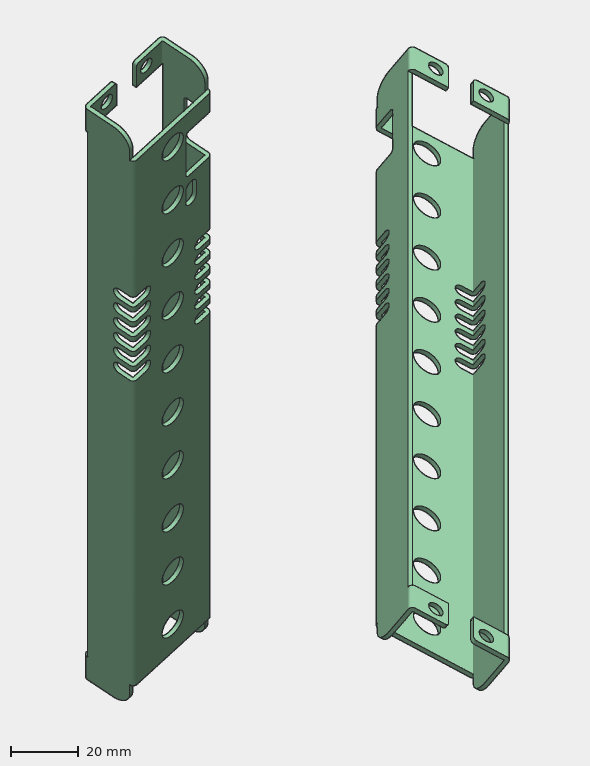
import cadquery as cq

sheet = 1.5
bend_inner = 0.03
bend_outer = bend_inner + sheet

flange_flat = 16.4
depth = flange_flat + 2 * bend_outer
width = 35.7
length = 268.2

end_relief = 10.7
web_length = length - 2 * end_relief
lip_gap = 8.9
lip_corner = 1.3
lip_hole_diameter = 5.0
lip_hole_spacing = 18.0
lip_hole_inset = 4.8

flange_corner = 6.5

web_hole_diameter = 9.7
web_hole_count = 10
web_hole_pitch = 25.0
web_hole_row_z = 2.0

vent_count = 6
vent_pitch = 7.0
vent_width = 4.5
vent_reach = 7.8
vent_row_z = 39.7

window_height = 21.0
window_z = 104.0
window_reach_web = 11.8
window_reach_flange = 9.7
window_corner = 1.3

slot_length = 10.5
slot_width = 4.8
slot_y = 8.3
slot_z = 84.8

lip_face = -depth / 2
web_face = depth / 2
web_bend_start = web_face - bend_outer
lip_bend_start = lip_face + bend_outer
side_face = width / 2


def box_between(x_range, y_range, z_range):
    """Box filling the given minimum-maximum ranges."""
    corners = list(zip(x_range, y_range, z_range))
    sizes = [high - low for low, high in zip(*corners)]
    return cq.Workplane("XY").box(*sizes, centered=False).translate(corners[0])


def row(count, pitch, centre):
    """Evenly spaced positions about a centre."""
    return [centre + (i - (count - 1) / 2) * pitch for i in range(count)]


def make_channel():
    """Rectangular tube opened along the gap between the lips."""
    outer = cq.Workplane("XY").box(depth, width, length).edges("|Z").fillet(bend_outer)
    inner = cq.Workplane("XY").box(depth - 2 * sheet, width - 2 * sheet, length)
    inner = inner.edges("|Z").fillet(bend_inner)
    gap = box_between((lip_face, 0), (-lip_gap / 2, lip_gap / 2), (-length / 2, length / 2))
    return outer.cut(inner).cut(gap)


def trim_lips(body):
    """Keep the lips only at the two ends and round their free outer corners."""
    middle = box_between(
        (lip_face, lip_bend_start), (-side_face, side_face), (-web_length / 2, web_length / 2)
    )
    body = body.cut(middle)
    lip_middle = lip_face + sheet / 2
    for side in (-1, 1):
        for end in (-1, 1):
            corner = (lip_middle, side * lip_gap / 2, end * length / 2)
            body = body.edges(cq.selectors.NearestToPointSelector(corner)).fillet(lip_corner)
    return body


def trim_web_ends(body):
    """Shorten the web and round the flange corners beyond it."""
    for end in (-1, 1):
        z_range = sorted((end * web_length / 2, end * length / 2))
        body = body.cut(box_between((web_bend_start, web_face), (-side_face, side_face), z_range))
        for side in (-1, 1):
            tip = (web_bend_start, side * (side_face - sheet / 2), end * length / 2)
            body = body.edges(cq.selectors.NearestToPointSelector(tip)).fillet(flange_corner)
    return body


def lip_holes():
    """One fixing hole through each lip."""
    points = [
        (side * lip_hole_spacing / 2, end * (length / 2 - lip_hole_inset))
        for side in (-1, 1)
        for end in (-1, 1)
    ]
    plane = cq.Workplane("YZ", origin=(lip_face, 0, 0))
    return plane.pushPoints(points).circle(lip_hole_diameter / 2).extrude(bend_outer)


def web_openings():
    """Large round holes and the vertical slot, both through the web only."""
    plane = cq.Workplane("YZ", origin=(web_bend_start, 0, 0))
    points = [(0, z) for z in row(web_hole_count, web_hole_pitch, web_hole_row_z)]
    holes = plane.pushPoints(points).circle(web_hole_diameter / 2).extrude(bend_outer)
    slot = plane.center(slot_y, slot_z).slot2D(slot_length, slot_width, 90).extrude(bend_outer)
    return holes.union(slot)


def vent_slots():
    """Round-ended cuts through the web and flange, meeting at each bend."""
    slot_size = 2 * vent_reach
    levels = row(vent_count, vent_pitch, vent_row_z)
    web_plane = cq.Workplane("YZ", origin=(web_bend_start, 0, 0))
    web_points = [(side * side_face, z) for side in (-1, 1) for z in levels]
    vents = web_plane.pushPoints(web_points).slot2D(slot_size, vent_width).extrude(bend_outer)
    for side in (-1, 1):
        flange_plane = cq.Workplane("XZ", origin=(0, side * side_face, 0))
        flange_points = [(web_face, z) for z in levels]
        in_flange = flange_plane.pushPoints(flange_points).slot2D(slot_size, vent_width)
        vents = vents.union(in_flange.extrude(side * bend_outer))
    return vents


def window():
    """Round-cornered window through the web and the +Y flange."""
    in_web = (
        cq.Workplane("YZ", origin=(web_bend_start, side_face, window_z))
        .rect(2 * window_reach_web, window_height)
        .extrude(bend_outer)
        .edges("|X")
        .fillet(window_corner)
    )
    in_flange = (
        cq.Workplane("XZ", origin=(web_face, side_face, window_z))
        .rect(2 * window_reach_flange, window_height)
        .extrude(bend_outer)
        .edges("|Y")
        .fillet(window_corner)
    )
    return in_web.union(in_flange)


body = trim_web_ends(trim_lips(make_channel()))
result = body.cut(lip_holes()).cut(web_openings()).cut(vent_slots()).cut(window())